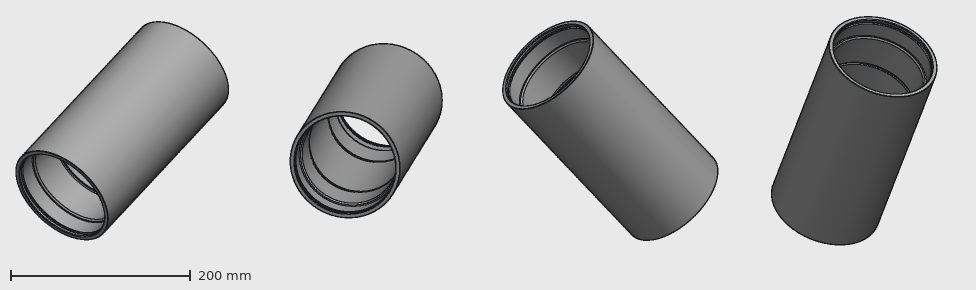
import cadquery as cq

length = 237.0
outer_diameter = 124.9
outer_chamfer = 0.5
bore_diameter = 108.0

seat_diameter = 114.2
seat_depth = 24.9
mouth_chamfer = 1.0

ring_groove_diameter = 118.5
ring_groove_start = 3.5
ring_groove_width = 3.0

lead_in_diameter = 111.0
lead_in_length = 2.1

inner_groove_diameter = 112.3
inner_groove_start = 64.5
inner_groove_width = 3.5


def cylinder(diameter, start, depth):
    """Cylinder along +Y that begins at the given distance from the -Y end face."""
    plane = cq.Workplane("XZ", origin=(0, start - length / 2, 0))
    return plane.circle(diameter / 2).extrude(-depth)


def cone(start_diameter, end_diameter, start, depth):
    """Tapered plug along +Y that begins at the given distance from the -Y end face."""
    y_start = start - length / 2
    y_end = y_start + depth
    half_profile = [
        (0, y_start),
        (start_diameter / 2, y_start),
        (end_diameter / 2, y_end),
        (0, y_end),
    ]
    return cq.Workplane("XY").polyline(half_profile).close().revolve(360, (0, 0, 0), (0, 1, 0))


def end_cuts():
    """Cutters for the -Y end: mouth chamfer, seat, ring groove, lead-in and inner groove."""
    mouth_diameter = seat_diameter + 2 * mouth_chamfer
    return [
        cone(mouth_diameter, seat_diameter, 0, mouth_chamfer),
        cylinder(seat_diameter, 0, seat_depth),
        cylinder(ring_groove_diameter, ring_groove_start, ring_groove_width),
        cone(lead_in_diameter, bore_diameter, seat_depth, lead_in_length),
        cylinder(inner_groove_diameter, inner_groove_start, inner_groove_width),
    ]


tube = cylinder(outer_diameter, 0, length).faces("<Y or >Y").chamfer(outer_chamfer)
tube = tube.cut(cylinder(bore_diameter, 0, length))

for cutter in end_cuts():
    tube = tube.cut(cutter).cut(cutter.mirror("XZ"))

result = tube